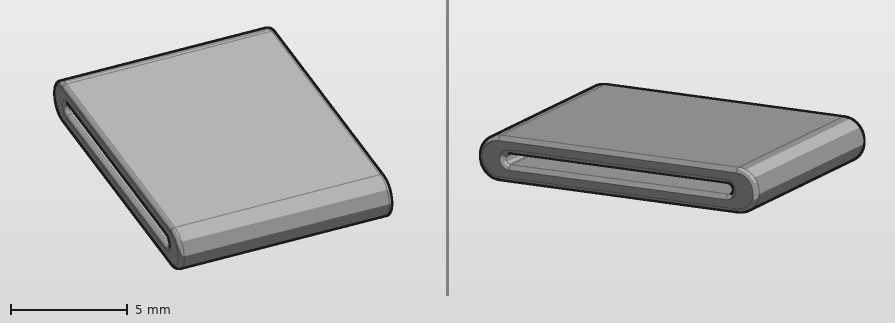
import cadquery as cq

width = 13.5
depth = 10.0
height = 2.0

slot_width = 11.0
slot_height = 0.5

edge_radius = 0.2


def capsule_prism(length, thickness):
    """Bar of capsule section, running the full depth and centred on the origin."""
    return (
        cq.Workplane("XZ")
        .slot2D(length, thickness)
        .extrude(depth / 2, both=True)
    )


body = capsule_prism(width, height)
slot = capsule_prism(slot_width, slot_height)

result = body.cut(slot).faces("<Y or >Y").edges().fillet(edge_radius)